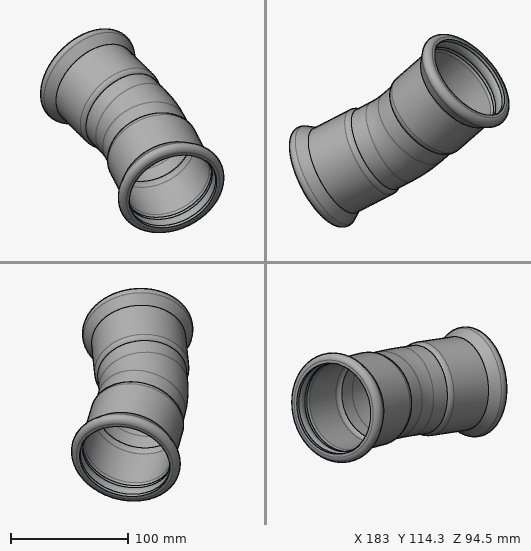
import cadquery as cq
import math

wall = 2.0
bend_angle = 15.0
bend_radius = 91.3
tube_radius = 76.1 / 2
socket_radius = 80.7 / 2
mouth_radius = 78.5 / 2
rim_radius = 94.5 / 2
rim_round = 5.3
flare_start = 8.1
flare_end = 17.3
neck_start = 55.0
neck_end = 60.3
leg_length = 75.47
bead_start = 3.1
bead_end = 11.65
entry_start = 14.5
entry_end = 17.2

tube_bore = tube_radius - wall
socket_bore = socket_radius - wall
rim_center = rim_radius - rim_round
bend_offset = bend_radius * math.tan(math.radians(bend_angle / 2))


def rim_point(angle):
    """Point of the rounded rim section at `angle` from the leg axis, as (depth, radius)."""
    return rim_round + rim_round * math.cos(angle), rim_center + rim_round * math.sin(angle)


def tangent_arc_middle(depth, radius, end_depth, end_radius):
    """Middle of the arc that leaves (depth, radius) along the axis and closes in to the end point."""
    run = end_depth - depth
    drop = radius - end_radius
    arc_radius = (run ** 2 + drop ** 2) / (2 * drop)
    half_angle = math.atan2(drop, run)
    return depth + arc_radius * math.sin(half_angle), radius - arc_radius * (1 - math.cos(half_angle))


def leg_section():
    """Half section of one leg: the mouth lies on the Y axis and the leg axis is +X."""
    rim_end = math.acos((flare_start - rim_round) / rim_round)
    rim_middle = (math.pi + rim_end) / 2
    bead_middle = (bead_start + bead_end) / 2
    neck_middle = tangent_arc_middle(neck_start, socket_bore, neck_end, tube_bore)
    return (
        cq.Workplane("XY")
        .moveTo(0, mouth_radius)
        .lineTo(*rim_point(math.pi))
        .threePointArc(rim_point(rim_middle), rim_point(rim_end))
        .tangentArcPoint((flare_end, socket_radius), relative=False)
        .lineTo(neck_start, socket_radius)
        .tangentArcPoint((neck_end, tube_radius), relative=False)
        .lineTo(leg_length, tube_radius)
        .lineTo(leg_length, tube_bore)
        .lineTo(neck_end, tube_bore)
        .threePointArc(neck_middle, (neck_start, socket_bore))
        .lineTo(entry_end, socket_bore)
        .tangentArcPoint((entry_start, mouth_radius), relative=False)
        .lineTo(bead_end, mouth_radius)
        .threePointArc((bead_middle, tube_radius), (bead_start, mouth_radius))
        .close()
    )


def make_leg():
    """Leg along X with its mouth at -X; the two leg axes cross at the origin."""
    leg = leg_section().revolve(360, (0, 0, 0), (1, 0, 0))
    return leg.translate((-bend_offset - leg_length, 0, 0))


def make_bend():
    """Curved tube from the end of the -X leg, turned in the XY plane towards -Y."""
    ring = cq.Workplane("YZ", origin=(-bend_offset, 0, 0)).circle(tube_radius).circle(tube_bore)
    return ring.revolve(bend_angle, (-bend_radius, 1, 0), (-bend_radius, -1, 0))


left_leg = make_leg().rotate((0, 0, 0), (0, 0, 1), bend_angle)
right_leg = make_leg().mirror("YZ")
bend = make_bend().rotate((0, 0, 0), (0, 0, 1), bend_angle)
result = left_leg.union(bend).union(right_leg)